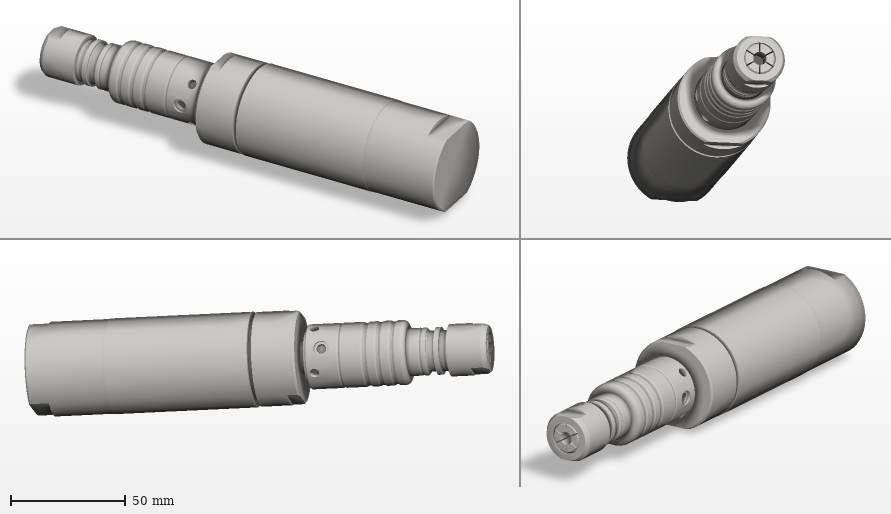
import cadquery as cq

LENGTH = 203.4

NUT_DIA = 23.0
NUT_END = 17.5
NUT_FACE_DIA = 20.3
NUT_CHAMFER_LENGTH = 2.0
NUT_FLAT_GAUGE = 20.0
NUT_FLAT_END = 7.5

NECK_DIA = 18.0
NECK_RING_DIA = 19.0
NECK_RING_END = 18.3
NECK_ROOT = 0.8
COLLAR_DIA = 21.0
COLLAR_START = 21.2
COLLAR_END = 23.4
SHANK_START = 27.0
SHANK_CHAMFER = 0.6
SHANK_GROOVE_CENTRE = 29.7

SLEEVE_DIA = 28.5
SLEEVE_START = 35.5
SLEEVE_END = 80.0
SLEEVE_ROUND = 2.5
SLEEVE_CHAMFER = 0.5
V_GROOVE_WIDTH = 1.5
V_GROOVE_DEPTH = 0.5
JOINT_GROOVE_CENTRE = 65.0
GRIP_GROOVE_DIA = 27.5
GRIP_GROOVE_WIDTH = 2.8
GRIP_GROOVE_FLOOR = 1.0
GRIP_GROOVE_FIRST = 41.7
GRIP_GROOVE_PITCH = 6.1
GRIP_GROOVE_COUNT = 3

STEP_DIA = 23.0
STEP_END = 81.2
ROD_DIA = 14.0

BODY_DIA = 42.0
BODY_END_DIA = 41.5
BODY_START = 83.4
BODY_CHAMFER = 0.8
BODY_GROOVE_DIA = 35.4
BODY_GROOVE_START = 102.5
BODY_GROOVE_END = 104.3
BODY_STEP = 168.0
REAR_CHAMFER = 0.6
FRONT_FLAT_GAUGE = 38.0
FRONT_FLAT_END = 88.9
REAR_FLAT_GAUGE = 36.0
REAR_FLAT_START = 194.5

COLLET_DIA = 14.0
COLLET_FACE_DIA = 12.5
COLLET_CHAMFER_LENGTH = 1.0
COLLET_BORE_DIA = 6.0
COLLET_BORE_DEPTH = 8.1
COLLET_SLOT_WIDTH = 0.6
COLLET_SLOT_COUNT = 6

SIDE_HOLE_X = 72.6
SIDE_HOLE_DIA = 4.3
SIDE_HOLE_MOUTH_DIA = 6.7
SIDE_HOLE_MOUTH_DEPTH = 1.2
SIDE_HOLE_DEPTH = 3.0
PIN_HOLE_X = 76.3
PIN_HOLE_DIA = 4.3
PIN_HOLE_DEPTH = 3.0


def ring(start, end, dia):
    """Solid disc about X between two stations."""
    return cq.Workplane("YZ", origin=(start, 0, 0)).circle(dia / 2).extrude(end - start)


def turned(points):
    """Solid of revolution about X from (station, radius) points."""
    return cq.Workplane("XY").polyline(points).close().revolve(360, (0, 0, 0), (1, 0, 0))


def grip_groove(centre):
    """Groove with sloping walls and a flat floor."""
    half = GRIP_GROOVE_WIDTH / 2
    half_floor = GRIP_GROOVE_FLOOR / 2
    outer = SLEEVE_DIA / 2
    floor = GRIP_GROOVE_DIA / 2
    return turned([
        (centre - half, outer),
        (centre + half, outer),
        (centre + half_floor, floor),
        (centre - half_floor, floor),
    ])


def v_groove(centre, dia):
    half = V_GROOVE_WIDTH / 2
    outer = dia / 2
    return turned([(centre - half, outer), (centre + half, outer), (centre, outer - V_GROOVE_DEPTH)])


def flats(start, end, gauge):
    """Material outside a pair of flats facing +Z and -Z."""
    length = end - start
    envelope = cq.Workplane("XY").box(length, 2 * BODY_DIA, 2 * BODY_DIA)
    kept = cq.Workplane("XY").box(length, 2 * BODY_DIA, gauge)
    return envelope.cut(kept).translate(((start + end) / 2, 0, 0))


def radial_hole(station, dia, depth, angle):
    """Blind hole from the sleeve surface towards the axis; angle is taken from +Y about X."""
    floor = SLEEVE_DIA / 2 - depth
    hole = cq.Workplane("XZ", origin=(station, floor, 0)).circle(dia / 2).extrude(-SLEEVE_DIA)
    return hole.rotate((0, 0, 0), (1, 0, 0), angle)


def make_nut():
    face = NUT_FACE_DIA / 2
    outer = NUT_DIA / 2
    nut = turned([(0, 0), (0, face), (NUT_CHAMFER_LENGTH, outer), (NUT_END, outer), (NUT_END, 0)])
    return nut.cut(flats(0, NUT_FLAT_END, NUT_FLAT_GAUGE))


def make_neck():
    """Neck with a collar; the roots at the nut, collar and shank are tapered."""
    floor = NECK_DIA / 2
    root = NECK_RING_DIA / 2
    collar = COLLAR_DIA / 2
    neck = turned([
        (NUT_END, 0),
        (NUT_END, root),
        (NECK_RING_END, root),
        (NECK_RING_END + NECK_ROOT, floor),
        (COLLAR_START, floor),
        (COLLAR_START, collar),
        (COLLAR_END, collar),
        (COLLAR_END, root),
        (COLLAR_END + NECK_ROOT, floor),
        (SHANK_START - NECK_ROOT, floor),
        (SHANK_START, root),
        (SHANK_START, 0),
    ])
    shank = ring(SHANK_START, SLEEVE_START, COLLAR_DIA).faces("<X").chamfer(SHANK_CHAMFER)
    return neck.union(shank.cut(v_groove(SHANK_GROOVE_CENTRE, COLLAR_DIA)))


def make_sleeve():
    sleeve = ring(SLEEVE_START, SLEEVE_END, SLEEVE_DIA)
    sleeve = sleeve.faces("<X").edges().fillet(SLEEVE_ROUND)
    sleeve = sleeve.faces(">X").chamfer(SLEEVE_CHAMFER)
    sleeve = sleeve.cut(v_groove(JOINT_GROOVE_CENTRE, SLEEVE_DIA))
    for index in range(GRIP_GROOVE_COUNT):
        sleeve = sleeve.cut(grip_groove(GRIP_GROOVE_FIRST + index * GRIP_GROOVE_PITCH))
    for angle in (0, 180):
        sleeve = sleeve.cut(radial_hole(SIDE_HOLE_X, SIDE_HOLE_DIA, SIDE_HOLE_DEPTH, angle))
        sleeve = sleeve.cut(radial_hole(SIDE_HOLE_X, SIDE_HOLE_MOUTH_DIA, SIDE_HOLE_MOUTH_DEPTH, angle))
    for angle in (45, 135, 225, 315):
        sleeve = sleeve.cut(radial_hole(PIN_HOLE_X, PIN_HOLE_DIA, PIN_HOLE_DEPTH, angle))
    return sleeve


def make_body():
    front = ring(BODY_START, BODY_GROOVE_START, BODY_END_DIA).faces("<X").chamfer(BODY_CHAMFER)
    rear = ring(BODY_STEP, LENGTH, BODY_END_DIA).faces(">X").chamfer(REAR_CHAMFER)
    body = front.union(ring(BODY_GROOVE_START, BODY_GROOVE_END, BODY_GROOVE_DIA))
    body = body.union(ring(BODY_GROOVE_END, BODY_STEP, BODY_DIA)).union(rear)
    body = body.cut(flats(BODY_START, FRONT_FLAT_END, FRONT_FLAT_GAUGE))
    return body.cut(flats(REAR_FLAT_START, LENGTH, REAR_FLAT_GAUGE))


def collet_cut():
    """Tapered ring around the collet face, its bore and its radial slots."""
    outer = COLLET_DIA / 2
    cut = turned([(0, COLLET_FACE_DIA / 2), (0, outer), (COLLET_CHAMFER_LENGTH, outer)])
    cut = cut.union(ring(0, COLLET_BORE_DEPTH, COLLET_BORE_DIA))
    for index in range(COLLET_SLOT_COUNT):
        slot = cq.Workplane("XY").box(
            COLLET_BORE_DEPTH, COLLET_SLOT_WIDTH, outer, centered=(False, True, False)
        )
        cut = cut.union(slot.rotate((0, 0, 0), (1, 0, 0), index * 360 / COLLET_SLOT_COUNT))
    return cut


result = make_nut().union(make_neck()).union(make_sleeve())
result = result.union(ring(SLEEVE_END, STEP_END, STEP_DIA)).union(ring(STEP_END, BODY_START, ROD_DIA))
result = result.union(make_body()).cut(collet_cut())